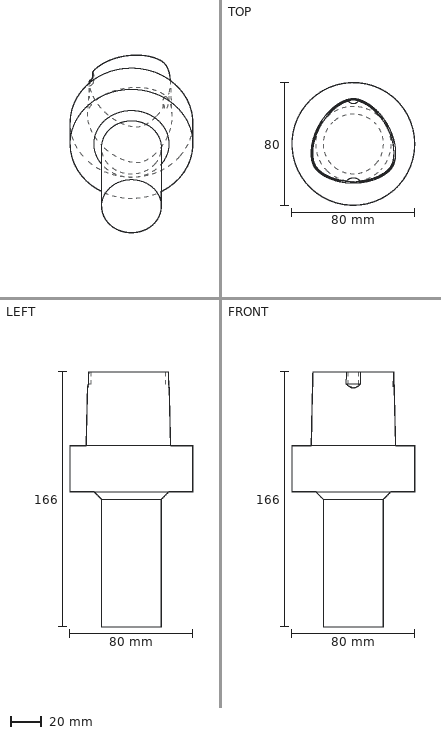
import cadquery as cq
import math

total_height = 166.0
shank_diameter = 39.0
shank_length = 83.0
neck_height = 5.0
flange_diameter = 80.0
flange_thickness = 30.0

coupling_base_radius = 27.5
coupling_top_radius = 26.4
lobe_height = 2.0
lobe_count = 3
outline_points = 36

front_notch_diameter = 12.0
front_notch_inner_y = -22.0
back_notch_diameter = 8.3
back_notch_inner_y = 26.2
notch_depth = 8.0

neck_top_z = shank_length + neck_height
flange_top_z = neck_top_z + flange_thickness
coupling_height = total_height - flange_top_z


def polygon_point(mean_radius, angle):
    """Point where the outline's normal has the given angle from +X."""
    phase = lobe_count * (angle - math.pi / 2)
    support = mean_radius + lobe_height * math.cos(phase)
    support_slope = -lobe_count * lobe_height * math.sin(phase)
    x = support * math.cos(angle) - support_slope * math.sin(angle)
    y = support * math.sin(angle) + support_slope * math.cos(angle)
    return x, y


def make_body():
    """Shank, 45 degree neck and flange as one turned profile."""
    shank_radius = shank_diameter / 2
    flange_radius = flange_diameter / 2
    profile = (
        cq.Workplane("XZ")
        .moveTo(0, 0)
        .lineTo(shank_radius, 0)
        .lineTo(shank_radius, shank_length)
        .lineTo(shank_radius + neck_height, neck_top_z)
        .lineTo(flange_radius, neck_top_z)
        .lineTo(flange_radius, flange_top_z)
        .lineTo(0, flange_top_z)
        .close()
    )
    return profile.revolve(360, (0, 0), (0, 1))


def polygon_points(mean_radius):
    """Evenly turned points around the whole polygon outline."""
    step = 2 * math.pi / outline_points
    return [polygon_point(mean_radius, index * step) for index in range(outline_points)]


def make_coupling():
    """Tapered polygon lofted from the flange to the top face."""
    return (
        cq.Workplane("XY", origin=(0, 0, flange_top_z))
        .spline(polygon_points(coupling_base_radius), periodic=True)
        .close()
        .workplane(offset=coupling_height)
        .spline(polygon_points(coupling_top_radius), periodic=True)
        .close()
        .loft(combine=True)
    )


def make_notch_cutter(diameter, inner_y):
    """Vertical drill with a 90 degree point, its wall touching inner_y."""
    radius = diameter / 2
    axis_y = inner_y + math.copysign(radius, inner_y)
    wall_bottom_z = total_height - notch_depth
    profile = (
        cq.Workplane("XZ", origin=(0, axis_y, 0))
        .moveTo(0, wall_bottom_z - radius)
        .lineTo(radius, wall_bottom_z)
        .lineTo(radius, total_height)
        .lineTo(0, total_height)
        .close()
    )
    return profile.revolve(360, (0, 0), (0, 1))


result = (
    make_body()
    .union(make_coupling())
    .cut(make_notch_cutter(front_notch_diameter, front_notch_inner_y))
    .cut(make_notch_cutter(back_notch_diameter, back_notch_inner_y))
)